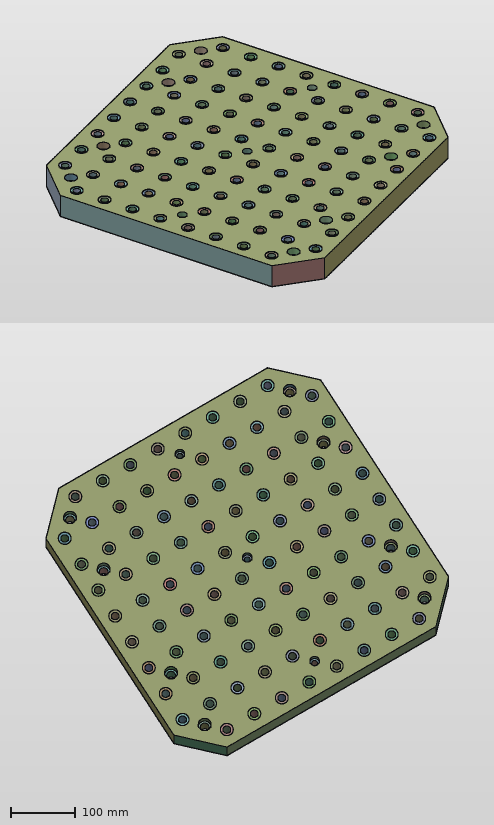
import cadquery as cq

side = 500
thickness = 40
corner_cut = 60

grid_pitch = 50
grid_count = 10
grid_bore = 12.0
grid_recess = 20
grid_recess_depth = 1.0

mount_column = 4 * grid_pitch
mount_rows = (2 * grid_pitch, 4 * grid_pitch)
mount_bore = 13.5
mount_recess = 20
mount_recess_depth = 12.5

locator_spacing = 4 * grid_pitch
locator_bore = 9.0
locator_recess = 15
locator_recess_depth = 10


def grid_points():
    """Centres of the square grid, leaving out the four corners."""
    reach = (grid_count - 1) * grid_pitch / 2
    places = [i * grid_pitch - reach for i in range(grid_count)]
    return [(x, y) for x in places for y in places if not abs(x) == abs(y) == reach]


def mount_points():
    """Centres of the mounting holes, mirrored about both centre lines."""
    return [
        (x_sign * mount_column, y_sign * row)
        for x_sign in (-1, 1)
        for y_sign in (-1, 1)
        for row in mount_rows
    ]


def locator_points():
    """Centres of the locating holes on the Y centre line."""
    return [(0, i * locator_spacing) for i in (-1, 0, 1)]


def add_counterbores(body, points, bore, recess, depth):
    """Cut through holes counterbored from the top face."""
    top = body.faces(">Z").workplane(origin=(0, 0, 0))
    return top.pushPoints(points).cboreHole(bore, recess, depth)


plate = (
    cq.Workplane("XY")
    .box(side, side, thickness)
    .edges("|Z")
    .chamfer(corner_cut)
)
plate = add_counterbores(plate, grid_points(), grid_bore, grid_recess, grid_recess_depth)
plate = add_counterbores(plate, mount_points(), mount_bore, mount_recess, mount_recess_depth)
plate = add_counterbores(plate, locator_points(), locator_bore, locator_recess, locator_recess_depth)

result = plate